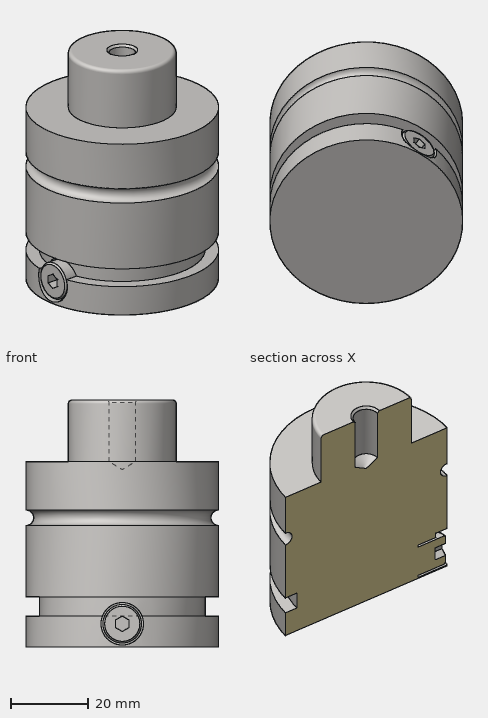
import cadquery as cq
import math

total_height = 64.0
body_diameter = 50.0
neck_diameter = 43.0
spigot_diameter = 28.0
flange_top = 8.0
neck_top = 13.0
collar_top = 48.0
spigot_fillet = 1.0
groove_radius = 2.0
groove_height = 33.5

hole_diameter = 6.8
hole_mouth_diameter = 8.0
hole_depth = 16.0
drill_tip_angle = 118.0

screw_height = 6.0
pocket_diameter = 11.0
pocket_floor = 16.0
head_diameter = 10.0
head_face = 24.5
head_chamfer = 0.45
socket_across_flats = 3.45
socket_depth = 3.2


def disc(diameter, bottom, top):
    """Cylinder on the body axis between two heights."""
    return cq.Workplane("XY").workplane(offset=bottom).circle(diameter / 2).extrude(top - bottom)


def screw_plane(distance):
    """Workplane facing -Y, centred on the screw at a distance from the body axis."""
    return cq.Workplane("XZ", origin=(0, -distance, screw_height))


def make_body():
    flange = disc(body_diameter, 0, flange_top)
    neck = disc(neck_diameter, flange_top, neck_top)
    collar = disc(body_diameter, neck_top, collar_top)
    spigot = disc(spigot_diameter, collar_top, total_height).faces(">Z").edges().fillet(spigot_fillet)
    groove = cq.Workplane("XY").add(
        cq.Solid.makeTorus(body_diameter / 2, groove_radius, cq.Vector(0, 0, groove_height))
    )
    return flange.union(neck).union(collar).union(spigot).cut(groove)


def make_hole():
    radius = hole_diameter / 2
    mouth_radius = hole_mouth_diameter / 2
    mouth_depth = mouth_radius - radius
    tip_length = radius / math.tan(math.radians(drill_tip_angle / 2))
    wall_bottom = total_height - hole_depth
    return (
        cq.Workplane("XZ")
        .moveTo(0, total_height)
        .lineTo(mouth_radius, total_height)
        .lineTo(radius, total_height - mouth_depth)
        .lineTo(radius, wall_bottom)
        .lineTo(0, wall_bottom - tip_length)
        .close()
        .revolve(360, (0, 0, 0), (0, 1, 0))
    )


def make_screw_pocket():
    return screw_plane(pocket_floor).circle(pocket_diameter / 2).extrude(body_diameter / 2 - pocket_floor)


def make_screw():
    head = screw_plane(pocket_floor).circle(head_diameter / 2).extrude(head_face - pocket_floor)
    head = head.faces("<Y").edges().chamfer(head_chamfer)
    socket_across_corners = socket_across_flats / math.cos(math.pi / 6)
    socket = (
        screw_plane(head_face)
        .transformed(rotate=(0, 0, 90))
        .polygon(6, socket_across_corners)
        .extrude(-socket_depth)
    )
    return head.cut(socket)


result = make_body().cut(make_hole()).cut(make_screw_pocket()).union(make_screw())